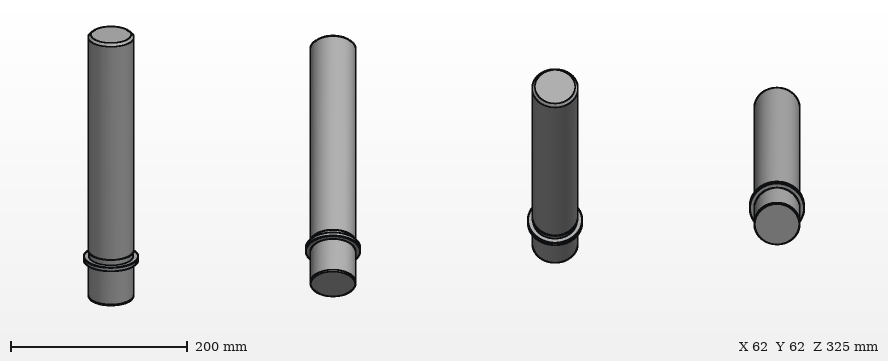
import cadquery as cq

total_length = 325.0
body_diameter = 52.0
neck_diameter = 50.0
collar_diameter = 62.0

collar_bottom = 45.0
collar_thickness = 5.2
neck_top = 57.0

tip_chamfer = 3.2
base_chamfer_height = 2.0
base_chamfer_width = 1.0
base_top_chamfer = 1.0
collar_chamfer = 0.5


def cylinder(diameter, bottom, top):
    """Cylinder about the Z axis between two heights."""
    return cq.Workplane("XY").workplane(offset=bottom).circle(diameter / 2).extrude(top - bottom)


base = cylinder(body_diameter, 0, collar_bottom)
base = base.faces("<Z").edges().chamfer(base_chamfer_height, base_chamfer_width)
base = base.faces(">Z").edges().chamfer(base_top_chamfer)

neck = cylinder(neck_diameter, collar_bottom, neck_top)

collar = cylinder(collar_diameter, collar_bottom, collar_bottom + collar_thickness)
collar = collar.edges("%CIRCLE").chamfer(collar_chamfer)

shaft = cylinder(body_diameter, neck_top, total_length)
shaft = shaft.faces(">Z").edges().chamfer(tip_chamfer)

result = base.union(neck).union(collar).union(shaft)